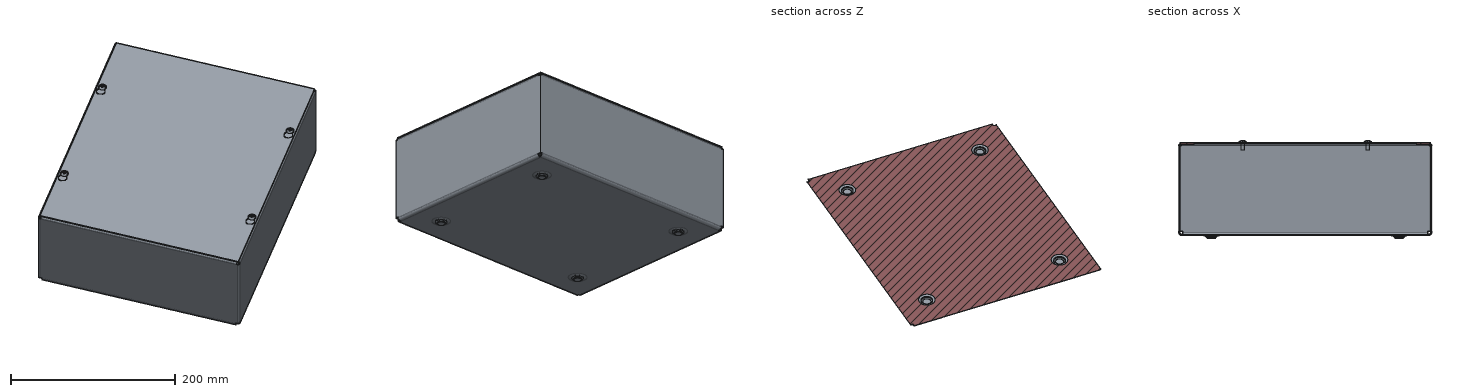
import cadquery as cq

width = 257.2
depth = 308.0
total_height = 119.2

sheet = 1.5
bend = 2.5
floor_bend = 4.0
floor_relief = 5.0
lip_relief = 3.5
seam_relief = 4.5
lip = 18.5

foot_height = 3.5
foot_base_diameter = 22.8
foot_neck_diameter = 14.2
foot_neck_drop = 1.2
foot_tip_diameter = 10.0
foot_x = 89.0
foot_y = 114.3

cover_inset = 2.0
screw_x = 119.8
screw_y = 76.0
keyhole_offset = 7.0
keyhole_diameter = 10.5
slot_width = 7.7
head_diameter = 10.0
head_height = 2.5
shank_diameter = 4.3
shank_length = 9.2
cross_length = 4.3
cross_width = 1.0
cross_depth = 1.2

box_height = total_height - foot_height - sheet - head_height
cover_top = box_height + sheet

foot_points = [(x, y) for x in (-foot_x, foot_x) for y in (-foot_y, foot_y)]
screw_points = [(x, y) for x in (-screw_x, screw_x) for y in (-screw_y, screw_y)]


def bent_block(margin):
    """Box outline moved inward by margin, with every edge bent except the open seam at -X +Y."""
    size_x = width - 2 * margin
    size_y = depth - 2 * margin
    size_z = box_height - 2 * margin
    block = cq.Workplane("XY").box(size_x, size_y, size_z)
    upright = block.edges("|Z and (<Y or >X)").fillet(bend - margin)
    lip_bends = [block.edges(f"|{axis} and >Z").fillet(bend - margin) for axis in "XY"]
    floor_bends = [block.edges(f"|{axis} and <Z").fillet(floor_bend - margin) for axis in "XY"]
    for bent in lip_bends + floor_bends:
        upright = upright.intersect(bent)
    return upright.translate((0, 0, box_height / 2))


def foot_form():
    """Round foot hanging below level zero, spreading out where it meets the floor."""
    base = foot_base_diameter / 2
    neck = foot_neck_diameter / 2
    tip = foot_tip_diameter / 2
    return (
        cq.Workplane("XZ")
        .moveTo(0, 0)
        .lineTo(base, 0)
        .lineTo(neck, -foot_neck_drop)
        .lineTo(tip, -foot_height)
        .lineTo(0, -foot_height)
        .close()
        .revolve(360, (0, 0, 0), (0, 1, 0))
    )


def corner_notch(side_x, side_y, size_x, size_y, reach, z):
    """Notch at one corner of the box, reaching above and below level z."""
    x = side_x * (width - size_x) / 2
    y = side_y * (depth - size_y) / 2
    return cq.Workplane("XY").box(size_x, size_y, 2 * reach).translate((x, y, z))


def make_box():
    body = bent_block(0).cut(bent_block(sheet))

    opening = cq.Workplane("XY").box(width - 2 * lip, depth - 2 * lip, 2 * bend)
    body = body.cut(opening.translate((0, 0, box_height)))

    for side_x in (-1, 1):
        for side_y in (-1, 1):
            at_seam = side_x < 0 < side_y
            floor_size = (seam_relief, bend) if at_seam else (floor_relief, floor_relief)
            floor_reach = floor_bend if at_seam else floor_relief
            lip_size = (seam_relief, bend) if at_seam else (lip_relief, lip_relief)
            body = body.cut(corner_notch(side_x, side_y, *floor_size, floor_reach, 0))
            body = body.cut(corner_notch(side_x, side_y, *lip_size, bend, box_height))

    for x, y in foot_points:
        body = body.union(foot_form().translate((x, y, 0)))
    for x, y in foot_points:
        body = body.cut(foot_form().translate((x, y, sheet)))

    holes = cq.Workplane("XY").workplane(offset=box_height - bend).pushPoints(screw_points)
    return body.cut(holes.circle(shank_diameter / 2).extrude(2 * bend))


def make_cover():
    plate = cq.Workplane("XY").rect(width - 2 * cover_inset, depth - 2 * cover_inset).extrude(sheet)
    wide_points = [(x, y - keyhole_offset) for x, y in screw_points]
    middle_points = [(x, y - keyhole_offset / 2) for x, y in screw_points]
    wide_ends = cq.Workplane("XY").pushPoints(wide_points).circle(keyhole_diameter / 2).extrude(sheet)
    slots = (
        cq.Workplane("XY")
        .pushPoints(middle_points)
        .slot2D(keyhole_offset + slot_width, slot_width, 90)
        .extrude(sheet)
    )
    return plate.cut(wide_ends).cut(slots).translate((0, 0, box_height))


def make_screw(x, y):
    """Cross-recessed dome-head screw seated on the cover."""
    outer = head_diameter / 2
    dome_radius = (outer**2 + head_height**2) / (2 * head_height)
    dome = cq.Workplane("XY").sphere(dome_radius).translate((0, 0, head_height - dome_radius))
    head = dome.intersect(cq.Workplane("XY").circle(head_diameter).extrude(head_height))
    shank = cq.Workplane("XY").circle(shank_diameter / 2).extrude(-shank_length)
    bar = cq.Workplane("XY").box(cross_length, cross_width, 2 * cross_depth)
    cross = bar.union(bar.rotate((0, 0, 0), (0, 0, 1), 90)).translate((0, 0, head_height))
    return head.union(shank).cut(cross).translate((x, y, cover_top))


box = make_box()
cover = make_cover()
screws = [make_screw(x, y) for x, y in screw_points]

result = cq.Compound.makeCompound([box.val(), cover.val(), *[screw.val() for screw in screws]])